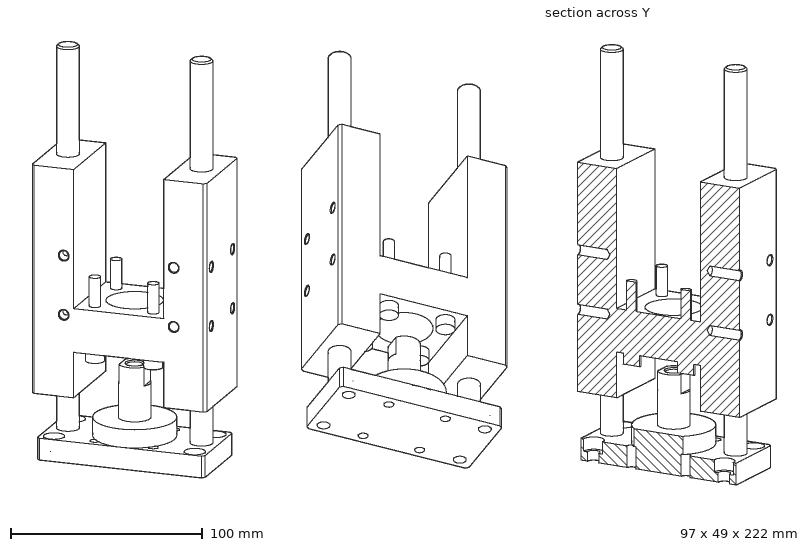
import cadquery as cq
import math

TOTAL_HEIGHT = 222.0

HOUSING_WIDTH = 97.0
HOUSING_DEPTH = 49.0
HOUSING_HEIGHT = 125.0
HOUSING_BOTTOM = 37.0
LEG_GAP = 50.0
BRIDGE_BOTTOM = 62.0
BRIDGE_THICKNESS = 24.0
BRIDGE_BORE_DIAMETER = 30.0
HOUSING_CHAMFER = 1.5

TAPPED_DIAMETER = 5.0
TAPPED_MOUTH_DIAMETER = 6.0
TAPPED_DEPTH = 17.8
HOLE_PITCH = 32.5
FRONT_HOLE_SPACING = 61.0
LOWER_HOLE_HEIGHT = 82.0

SCREW_DIAMETER = 6.0
SCREW_HEAD_DIAMETER = 10.0
SCREW_HEAD_HEIGHT = 6.0
SHANK_PROJECTION = 16.0

PLATE_WIDTH = 93.0
PLATE_DEPTH = 44.0
PLATE_THICKNESS = 12.0
PLATE_CHAMFER = 1.5
ROD_DIAMETER = 12.0
ROD_SPACING = 74.1
ROD_CHAMFER = 1.0
DISC_DIAMETER = 44.0
DISC_THICKNESS = 10.0
STEM_DIAMETER = 17.0
STEM_TOP = 51.5
FLATS_WIDTH = 14.0
FLATS_LENGTH = 10.5
SOCKET_DIAMETER = 8.7
SOCKET_MOUTH_DIAMETER = 10.0
SOCKET_DEPTH = 20.0
DRILL_POINT_ANGLE = 118.0

CORNER_HOLE_DIAMETER = 6.7
COUNTERBORE_DIAMETER = 11.0
COUNTERBORE_DEPTH = 6.7
CORNER_HOLE_SPACING_X = 78.1
CORNER_HOLE_SPACING_Y = 31.5

BRIDGE_TOP = BRIDGE_BOTTOM + BRIDGE_THICKNESS
HOUSING_TOP = HOUSING_BOTTOM + HOUSING_HEIGHT
DISC_TOP = PLATE_THICKNESS + DISC_THICKNESS
HOLE_HEIGHTS = (LOWER_HOLE_HEIGHT, LOWER_HOLE_HEIGHT + HOLE_PITCH)
ROD_CENTRES = ((-ROD_SPACING / 2, 0), (ROD_SPACING / 2, 0))
HALF_PITCHES = (-HOLE_PITCH / 2, HOLE_PITCH / 2)
SQUARE_CENTRES = [(x, y) for x in HALF_PITCHES for y in HALF_PITCHES]


def block(width, depth, bottom, top):
    """Box centred on the Z axis between two heights."""
    return cq.Workplane("XY").workplane(offset=bottom).rect(width, depth).extrude(top - bottom)


def cylinders(centres, diameter, bottom, top):
    """Vertical cylinders between two heights, one at each centre."""
    base = cq.Workplane("XY").workplane(offset=bottom)
    return base.pushPoints(centres).circle(diameter / 2).extrude(top - bottom)


def tapped_hole(diameter, mouth_diameter, depth, pointed):
    """Cutter for a blind hole with a chamfered mouth, going down from the origin."""
    radius = diameter / 2
    mouth_radius = mouth_diameter / 2
    point_length = radius / math.tan(math.radians(DRILL_POINT_ANGLE / 2)) if pointed else 0
    profile = [
        (0, 0),
        (mouth_radius, 0),
        (radius, radius - mouth_radius),
        (radius, -depth),
        (0, -depth - point_length),
    ]
    return cq.Workplane("XZ").polyline(profile).close().revolve(360, (0, 0, 0), (0, 1, 0))


def make_housing():
    """Legs and bridge with rod bores, mounting holes and screws."""
    body = block(HOUSING_WIDTH, HOUSING_DEPTH, HOUSING_BOTTOM, HOUSING_TOP)
    body = body.edges("|Z").chamfer(HOUSING_CHAMFER)
    body = body.cut(block(LEG_GAP, HOUSING_DEPTH, HOUSING_BOTTOM, HOUSING_TOP))
    body = body.union(block(LEG_GAP, HOUSING_DEPTH, BRIDGE_BOTTOM, BRIDGE_TOP))
    body = body.cut(cylinders([(0, 0)], BRIDGE_BORE_DIAMETER, BRIDGE_BOTTOM, BRIDGE_TOP))
    body = body.cut(cylinders(ROD_CENTRES, ROD_DIAMETER, HOUSING_BOTTOM, HOUSING_TOP))

    front_hole = tapped_hole(TAPPED_DIAMETER, TAPPED_MOUTH_DIAMETER, TAPPED_DEPTH, False)
    front_hole = front_hole.rotate((0, 0, 0), (1, 0, 0), 90)
    side_hole = tapped_hole(TAPPED_DIAMETER, TAPPED_MOUTH_DIAMETER, TAPPED_DEPTH, True)
    for side in (-1, 1):
        outward_hole = side_hole.rotate((0, 0, 0), (0, 1, 0), side * 90)
        for z in HOLE_HEIGHTS:
            body = body.cut(front_hole.translate((side * FRONT_HOLE_SPACING / 2, -HOUSING_DEPTH / 2, z)))
            for y in HALF_PITCHES:
                body = body.cut(outward_hole.translate((side * HOUSING_WIDTH / 2, y, z)))

    shanks = cylinders(SQUARE_CENTRES, SCREW_DIAMETER, BRIDGE_TOP, BRIDGE_TOP + SHANK_PROJECTION)
    heads = cylinders(SQUARE_CENTRES, SCREW_HEAD_DIAMETER, BRIDGE_BOTTOM - SCREW_HEAD_HEIGHT, BRIDGE_BOTTOM)
    return body.union(shanks).union(heads)


def make_coupling():
    """Disc with a socketed stem that has two flats near its top."""
    disc = cylinders([(0, 0)], DISC_DIAMETER, PLATE_THICKNESS, DISC_TOP)
    flats_bottom = STEM_TOP - FLATS_LENGTH
    stem = cylinders([(0, 0)], STEM_DIAMETER, DISC_TOP, flats_bottom)
    flats = cylinders([(0, 0)], STEM_DIAMETER, flats_bottom, STEM_TOP)
    flats = flats.intersect(block(FLATS_WIDTH, STEM_DIAMETER, flats_bottom, STEM_TOP))
    socket = tapped_hole(SOCKET_DIAMETER, SOCKET_MOUTH_DIAMETER, SOCKET_DEPTH, True)
    return disc.union(stem).union(flats).cut(socket.translate((0, 0, STEM_TOP)))


def make_carriage():
    """Base plate with guide rods and piston coupling."""
    plate = block(PLATE_WIDTH, PLATE_DEPTH, 0, PLATE_THICKNESS).edges("|Z").chamfer(PLATE_CHAMFER)
    plate = plate.cut(cylinders(SQUARE_CENTRES, TAPPED_DIAMETER, 0, PLATE_THICKNESS))
    plate = (
        plate.faces(">Z").workplane(origin=(0, 0, PLATE_THICKNESS))
        .rect(CORNER_HOLE_SPACING_X, CORNER_HOLE_SPACING_Y, forConstruction=True).vertices()
        .cboreHole(CORNER_HOLE_DIAMETER, COUNTERBORE_DIAMETER, COUNTERBORE_DEPTH)
    )
    rods = cylinders(ROD_CENTRES, ROD_DIAMETER, PLATE_THICKNESS, TOTAL_HEIGHT)
    rods = rods.faces(">Z").chamfer(ROD_CHAMFER)
    return plate.union(rods).union(make_coupling())


housing = make_housing()
carriage = make_carriage()
result = cq.Compound.makeCompound([housing.val(), carriage.val()])